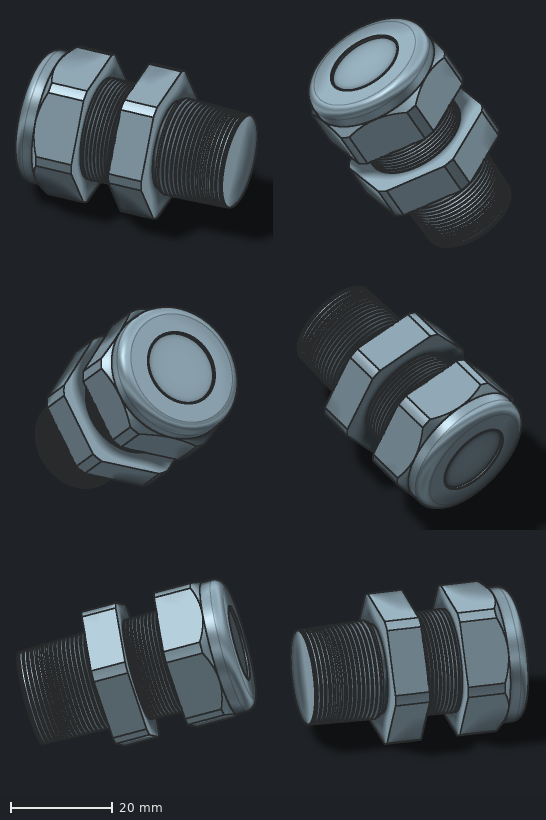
import cadquery as cq
import math


LENGTH = 42.93

ACROSS_FLATS = 26.92
ACROSS_CORNERS = 29.88
SHARP_ACROSS_CORNERS = ACROSS_FLATS / math.cos(math.radians(30))

NUT_LENGTH = 13.1
COLLAR_LENGTH = 4.1
COLLAR_RADIUS = ACROSS_FLATS / 2 - 0.02
COLLAR_FILLET = 2.04
NUT_FRONT_WALL = 4.0

TIP_RADIUS = 7.58
TIP_RECESS_RADIUS = 7.33
TIP_RECESS_DEPTH = 0.5

HEX_START = 20.97
HEX_LENGTH = 6.98
HEX_END = HEX_START + HEX_LENGTH

FLANK_HALF_ANGLE = math.radians(30)
CREST_TAPER = 1 / 32

NUT_THREAD_PITCH = 0.767
NUT_THREAD_ROOT_RADIUS = 9.72
NUT_THREAD_CREST_RADIUS = 10.4
NUT_THREAD_FIRST_GROOVE = 13.43

ENTRY_THREAD_PITCH = 0.888
ENTRY_THREAD_ROOT_RADIUS = 9.12
ENTRY_THREAD_CREST_RADIUS = 9.85
ENTRY_THREAD_FIRST_GROOVE = 29.17
ENTRY_END_CHAMFER = 0.1

NECK_RADIUS = 8.95
NECK_LENGTH = 0.15
NECK_FILLET = 0.85


def cylinder(start, end, radius):
    return cq.Workplane("YZ", origin=(start, 0, 0)).circle(radius).extrude(end - start)


def revolve_about_x(profile):
    return profile.close().revolve(360, (0, 0, 0), (1, 0, 0))


def rounded_hexagon(start, end):
    prism = (
        cq.Workplane("YZ", origin=(start, 0, 0))
        .polygon(6, SHARP_ACROSS_CORNERS)
        .extrude(end - start)
    )
    return prism.intersect(cylinder(start, end, ACROSS_CORNERS / 2))


def grooved_bar(start, end, root_radius, pitch, first_groove):
    """Bar of sharp V ridges that covers at least the stretch from start to end."""
    crest_radius = root_radius + pitch / 2 / math.tan(FLANK_HALF_ANGLE)
    first = math.floor((start - first_groove) / pitch)
    last = math.ceil((end - first_groove) / pitch)
    profile = cq.Workplane("XY").moveTo(first_groove + first * pitch, 0)
    profile = profile.lineTo(first_groove + first * pitch, root_radius)
    for index in range(first, last):
        groove = first_groove + index * pitch
        profile = profile.lineTo(groove + pitch / 2, crest_radius)
        profile = profile.lineTo(groove + pitch, root_radius)
    profile = profile.lineTo(first_groove + last * pitch, 0)
    return revolve_about_x(profile)


def make_nut_thread():
    length = HEX_START - NUT_LENGTH
    envelope = revolve_about_x(
        cq.Workplane("XY")
        .moveTo(NUT_LENGTH, 0)
        .lineTo(NUT_LENGTH, NUT_THREAD_CREST_RADIUS)
        .lineTo(HEX_START, NUT_THREAD_CREST_RADIUS - length * CREST_TAPER)
        .lineTo(HEX_START, 0)
    )
    ridges = grooved_bar(
        NUT_LENGTH,
        HEX_START,
        NUT_THREAD_ROOT_RADIUS,
        NUT_THREAD_PITCH,
        NUT_THREAD_FIRST_GROOVE,
    )
    return envelope.intersect(ridges)


def make_entry_thread():
    fillet_start = HEX_END + NECK_LENGTH
    fillet_end = fillet_start + NECK_FILLET
    fillet_middle = (
        fillet_start + NECK_FILLET * math.sin(math.radians(45)),
        NECK_RADIUS + NECK_FILLET * (1 - math.cos(math.radians(45))),
    )
    end_radius = ENTRY_THREAD_CREST_RADIUS - (LENGTH - fillet_end) * CREST_TAPER
    envelope = revolve_about_x(
        cq.Workplane("XY")
        .moveTo(HEX_END, 0)
        .lineTo(HEX_END, NECK_RADIUS)
        .lineTo(fillet_start, NECK_RADIUS)
        .threePointArc(fillet_middle, (fillet_end, NECK_RADIUS + NECK_FILLET))
        .lineTo(fillet_end, ENTRY_THREAD_CREST_RADIUS)
        .lineTo(LENGTH - ENTRY_END_CHAMFER, end_radius)
        .lineTo(LENGTH, end_radius - ENTRY_END_CHAMFER)
        .lineTo(LENGTH, 0)
    )
    ridges = grooved_bar(
        HEX_END,
        LENGTH,
        ENTRY_THREAD_ROOT_RADIUS,
        ENTRY_THREAD_PITCH,
        ENTRY_THREAD_FIRST_GROOVE,
    )
    return envelope.intersect(ridges)


def make_cap_nut():
    bevel = ACROSS_CORNERS / 2 - COLLAR_RADIUS
    bevel_end = COLLAR_LENGTH + bevel
    blank = revolve_about_x(
        cq.Workplane("XY")
        .moveTo(COLLAR_LENGTH, 0)
        .lineTo(COLLAR_LENGTH, COLLAR_RADIUS)
        .lineTo(bevel_end, ACROSS_CORNERS / 2)
        .lineTo(NUT_LENGTH, ACROSS_CORNERS / 2)
        .lineTo(NUT_LENGTH, 0)
    )
    grip = rounded_hexagon(COLLAR_LENGTH, NUT_LENGTH).intersect(blank)
    collar = cylinder(0, COLLAR_LENGTH, COLLAR_RADIUS).faces("<X").edges().fillet(COLLAR_FILLET)
    front_hole = cylinder(0, NUT_FRONT_WALL, TIP_RADIUS)
    bore = cylinder(NUT_FRONT_WALL, NUT_LENGTH, NUT_THREAD_ROOT_RADIUS)
    return grip.union(collar).cut(front_hole).cut(bore)


def make_gland_body():
    tip = cylinder(0, NUT_FRONT_WALL, TIP_RADIUS)
    recess = cylinder(0, TIP_RECESS_DEPTH, TIP_RECESS_RADIUS)
    shank = cylinder(NUT_FRONT_WALL, NUT_LENGTH, NUT_THREAD_ROOT_RADIUS)
    return (
        rounded_hexagon(HEX_START, HEX_END)
        .union(make_nut_thread())
        .union(make_entry_thread())
        .union(shank)
        .union(tip)
        .cut(recess)
    )


cap_nut = make_cap_nut()
gland_body = make_gland_body()

result = cq.Compound.makeCompound([cap_nut.solids().val(), gland_body.solids().val()])